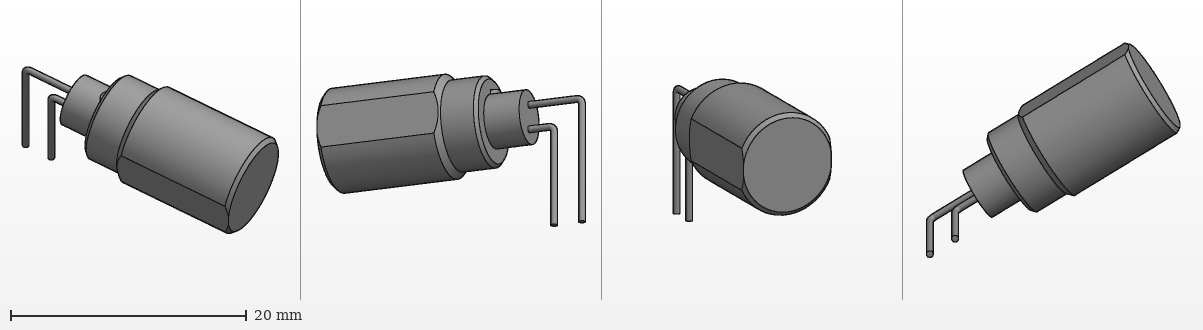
import cadquery as cq
import math


insulator_back = 5.12
housing_back = 8.34
barrel_start = 11.65
housing_front = 22.85

collar_radius = 3.95
barrel_radius = 4.5
width_across_flats = 8.2
collar_chamfer = 0.32
shoulder_length = 0.55
front_chamfer = 0.37

insulator_radius = 2.35
key_top_radius = 2.72
key_round_radius = 0.73
key_tip = 7.79

pin_radius = 0.3
bend_radius = 0.5
pin_pitch_x = 2.54
pin_pitch_z = 2.2
pin_bottom = -9.95


def x_cylinder(radius, start, end):
    """Cylinder about the X axis between two X positions."""
    return cq.Workplane("YZ", origin=(start, 0, 0)).circle(radius).extrude(end - start)


def make_housing():
    """Collar and conical shoulder leading into a barrel with two side flats."""
    turned = (
        cq.Workplane("XZ")
        .moveTo(housing_back, 0)
        .lineTo(housing_back, collar_radius - collar_chamfer)
        .lineTo(housing_back + collar_chamfer, collar_radius)
        .lineTo(barrel_start, collar_radius)
        .lineTo(barrel_start + shoulder_length, barrel_radius)
        .lineTo(housing_front - front_chamfer, barrel_radius)
        .lineTo(housing_front, barrel_radius - front_chamfer)
        .lineTo(housing_front, 0)
        .close()
        .revolve(360, (0, 0, 0), (1, 0, 0))
    )
    between_flats = cq.Workplane("XY").box(
        2 * housing_front, width_across_flats, 2 * barrel_radius
    )
    return turned.intersect(between_flats)


def make_insulator():
    """Round insulator with a low round-ended key against the housing face."""
    core = x_cylinder(insulator_radius, insulator_back, housing_back)
    key_post = (
        cq.Workplane("XY")
        .center(key_tip + key_round_radius, 0)
        .circle(key_round_radius)
        .extrude(key_top_radius)
    )
    key = key_post.intersect(x_cylinder(key_top_radius, insulator_back, housing_back))
    return core.union(key)


def make_pin(leg_x, tail_z):
    """Bent round pin: a tail along X from the insulator and a leg straight down."""
    bend_offset = bend_radius * (1 - math.sqrt(0.5))
    path = (
        cq.Workplane("XZ")
        .moveTo(insulator_back, tail_z)
        .lineTo(leg_x + bend_radius, tail_z)
        .threePointArc(
            (leg_x + bend_offset, tail_z - bend_offset),
            (leg_x, tail_z - bend_radius),
        )
        .lineTo(leg_x, pin_bottom)
    )
    return (
        cq.Workplane("YZ", origin=(insulator_back, 0, tail_z))
        .circle(pin_radius)
        .sweep(path)
    )


housing = make_housing()
insulator = make_insulator()

pins = []
for row in range(2):
    leg_x = pin_radius + row * pin_pitch_x
    tail_z = pin_pitch_z / 2 - row * pin_pitch_z
    pins.append(make_pin(leg_x, tail_z))

result = cq.Compound.makeCompound(
    [housing.val(), insulator.val(), *[pin.val() for pin in pins]]
)